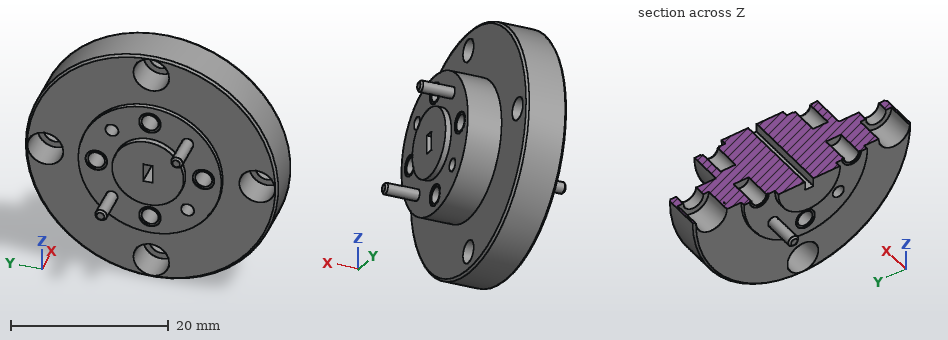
import cadquery as cq
import math

overall_length = 20.55

flange_diameter = 33.65
flange_front_x = -4.9
flange_thickness = 5.7
flange_chamfer = 0.3

hub_diameter = 19.05
hub_length = 11.07
hub_end_x = hub_length / 2
face_diameter = 9.53
face_height = 0.8
face_end_x = hub_end_x + face_height

guide_width = 1.28
guide_height = 2.55

screw_circle_radius = 14.1
screw_diameter = 3.05
counterbore_diameter = 4.75
counterbore_depth = 4.05

hub_hole_circle_radius = 7.15

tapped_diameter = 2.25
tapped_recess_diameter = 2.85
tapped_recess_depth = 0.15
tapped_depth = 4.05

dowel_diameter = 1.55
dowel_tip_x = overall_length / 2
dowel_length = dowel_tip_x - hub_end_x
dowel_chamfer = 0.27
socket_diameter = 1.7
socket_depth = dowel_length

socket_angle = 45
dowel_angle = 135
pair_count = 2

hole_count = 4


def disc(start_x, length, diameter):
    """Cylinder along +X from start_x."""
    return cq.Workplane("YZ", origin=(start_x, 0, 0)).circle(diameter / 2).extrude(length)


def on_circle(tool, radius, start_angle, count):
    """Copies of an axial tool spread evenly around X; the angle runs from +Y toward +Z."""
    copies = cq.Workplane("YZ")
    for index in range(count):
        angle = math.radians(start_angle + index * 360 / count)
        position = (0, radius * math.cos(angle), radius * math.sin(angle))
        copies = copies.add(tool.translate(position))
    return copies.combine()


def at_rear(tool):
    """Move a front-end tool to the rear end by a half turn about Z."""
    return tool.rotate((0, 0, 0), (0, 0, 1), 180)


def make_body():
    flange = disc(flange_front_x, flange_thickness, flange_diameter).edges().chamfer(flange_chamfer)
    hub = disc(-hub_end_x, hub_length, hub_diameter)
    faces = disc(-face_end_x, hub_length + 2 * face_height, face_diameter)
    return flange.union(hub).union(faces)


def make_guide():
    return cq.Workplane("YZ").rect(guide_width, guide_height).extrude(face_end_x, both=True)


def make_screw_holes():
    hole = disc(flange_front_x, flange_thickness, screw_diameter)
    counterbore = disc(flange_front_x, counterbore_depth, counterbore_diameter)
    return on_circle(hole.union(counterbore), screw_circle_radius, 0, hole_count)


def make_tapped_holes():
    hole = disc(-hub_end_x, tapped_depth, tapped_diameter)
    recess = disc(-hub_end_x, tapped_recess_depth, tapped_recess_diameter)
    return on_circle(hole.union(recess), hub_hole_circle_radius, 0, hole_count)


def make_sockets():
    socket = disc(-hub_end_x, socket_depth, socket_diameter)
    return on_circle(socket, hub_hole_circle_radius, socket_angle, pair_count)


def make_dowels():
    dowel = disc(-dowel_tip_x, dowel_length, dowel_diameter).faces("<X").chamfer(dowel_chamfer)
    return on_circle(dowel, hub_hole_circle_radius, dowel_angle, pair_count)


result = make_body().cut(make_guide()).cut(make_screw_holes())

for front_holes in (make_tapped_holes(), make_sockets()):
    result = result.cut(front_holes).cut(at_rear(front_holes))
front_dowels = make_dowels()
result = result.union(front_dowels).union(at_rear(front_dowels))